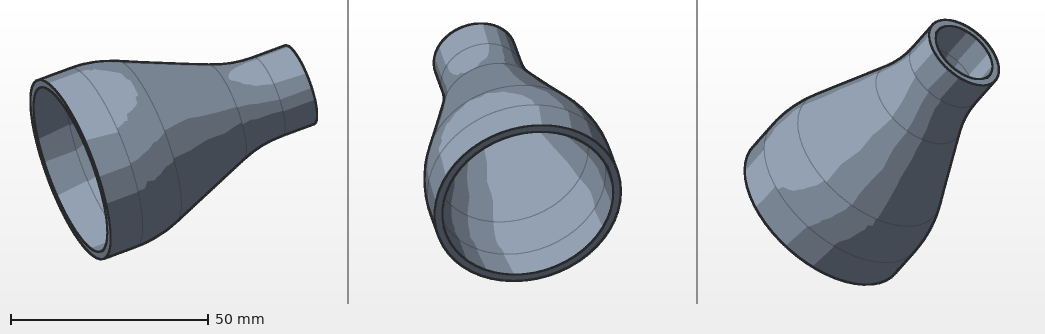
import cadquery as cq
import math

length = 64.0
wide_outer_diameter = 48.3
narrow_outer_diameter = 21.3
narrow_bore_diameter = 17.3
collar_length = 8.95
bend_radius = 32.0

wide_outer_radius = wide_outer_diameter / 2
narrow_outer_radius = narrow_outer_diameter / 2
wall = narrow_outer_radius - narrow_bore_diameter / 2

bend_span = length - 2 * collar_length
center_offset = 2 * bend_radius - (wide_outer_radius - narrow_outer_radius)
center_distance = math.hypot(bend_span, center_offset)
cone_angle = math.atan2(bend_span, center_offset) - math.acos(2 * bend_radius / center_distance)


def arc_point(center, radius, angle):
    """Point on a bend; the angle is measured from the radial direction toward +Y."""
    return (center[0] + radius * math.cos(angle), center[1] + radius * math.sin(angle))


def reducer_body(inset):
    """Solid of revolution whose surface lies `inset` inside the outer surface."""
    wide_radius = wide_outer_radius - inset
    narrow_radius = narrow_outer_radius - inset
    wide_center = (wide_outer_radius - bend_radius, collar_length)
    narrow_center = (narrow_outer_radius + bend_radius, length - collar_length)
    wide_bend = bend_radius - inset
    narrow_bend = bend_radius + inset
    flank_angle = math.pi + cone_angle
    mid_flank_angle = math.pi + cone_angle / 2

    return (
        cq.Workplane("XY")
        .moveTo(0, 0)
        .lineTo(wide_radius, 0)
        .lineTo(wide_radius, collar_length)
        .threePointArc(
            arc_point(wide_center, wide_bend, cone_angle / 2),
            arc_point(wide_center, wide_bend, cone_angle),
        )
        .lineTo(*arc_point(narrow_center, narrow_bend, flank_angle))
        .threePointArc(
            arc_point(narrow_center, narrow_bend, mid_flank_angle),
            (narrow_radius, length - collar_length),
        )
        .lineTo(narrow_radius, length)
        .lineTo(0, length)
        .close()
        .revolve(360, (0, 0, 0), (0, 1, 0))
    )


result = reducer_body(0).cut(reducer_body(wall))